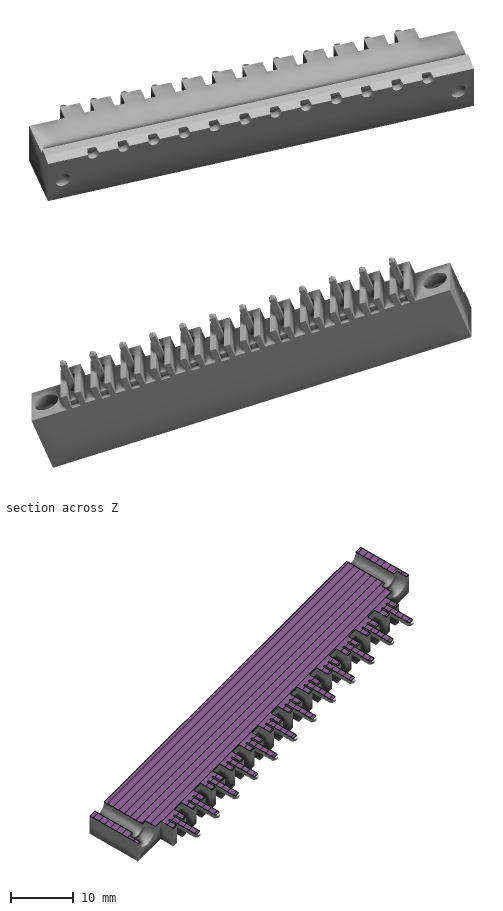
import cadquery as cq

length = 71.1
pin_length = 4.0
housing_depth = 12.2
housing_height = 7.75
total_height = 8.6

pin_count = 12
row_length = 55.9
pitch = row_length / (pin_count - 1)
axis_height = 3.9
pin_size = 1.0
pin_tip_chamfer = 0.3
pin_tip_length = 0.5

block_width = 3.35
end_step = 2.55
groove_depth = 2.35
slot_width = 1.4
slot_height = 5.55
slot_depth = 1.7
foot_height = 0.85
foot_depth = 2.55

rib_width = 3.05
rib_slope_length = 1.6
rib_slope_drop = 0.4

notch_length = 1.15
notch_inner_radius = 0.8
notch_outer_radius = 0.9
notch_axis_height = 8.1

hole_diameter = 2.5
counterbore_diameter = 4.0
counterbore_depth = 2.0

pin_positions = [i * pitch - row_length / 2 for i in range(pin_count)]
hole_positions = [-row_length / 2 - pitch, row_length / 2 + pitch]


def box(x_start, x_end, y_center, width, z_start, z_end):
    """Box between X and Z limits, centred on a Y position."""
    return (
        cq.Workplane("XY")
        .box(x_end - x_start, width, z_end - z_start, centered=(False, True, False))
        .translate((x_start, y_center, z_start))
    )


def make_housing():
    """Extruded bar with a sloped locking rib along its top."""
    profile = [
        (0, 0),
        (housing_depth, 0),
        (housing_depth, total_height - rib_slope_drop),
        (housing_depth - rib_slope_length, total_height),
        (housing_depth - rib_width, total_height),
        (housing_depth - rib_width, housing_height),
        (0, housing_height),
    ]
    return cq.Workplane("XZ").polyline(profile).close().extrude(length / 2, both=True)


def end_setback(side):
    """Material removed from one end, beyond the outermost block."""
    inner_edge = row_length / 2 + block_width / 2
    width = length / 2 - inner_edge
    return box(0, end_step, side * (inner_edge + width / 2), width, 0, housing_height)


def groove(y):
    """Full-height groove between two neighbouring blocks."""
    return box(0, groove_depth, y, pitch - block_width, 0, housing_height)


def pin_slot(y):
    """Slot around a pin, open at the bottom and deeper at its foot."""
    slot = box(0, slot_depth, y, slot_width, 0, slot_height)
    return slot.union(box(0, foot_depth, y, slot_width, 0, foot_height))


def rib_notch(y):
    """Cone along X, widening towards the mating face."""
    return (
        cq.Workplane("YZ", origin=(housing_depth - notch_length, y, notch_axis_height))
        .circle(notch_inner_radius)
        .workplane(offset=notch_length)
        .circle(notch_outer_radius)
        .loft(ruled=True)
    )


def mounting_hole(y):
    """Through hole with a counterbore from the pin side."""
    plane = cq.Workplane("YZ").center(y, axis_height)
    bore = plane.circle(hole_diameter / 2).extrude(housing_depth)
    return bore.union(plane.circle(counterbore_diameter / 2).extrude(end_step + counterbore_depth))


def pin(y):
    """Square pin with a tapered tip, seated in the back of its slot."""
    bottom = axis_height - pin_size / 2
    shoulder = pin_tip_length - pin_length
    shaft = box(shoulder, slot_depth, y, pin_size, bottom, bottom + pin_size)
    end_size = pin_size - 2 * pin_tip_chamfer
    tip = (
        cq.Workplane("YZ", origin=(-pin_length, y, axis_height))
        .rect(end_size, end_size)
        .workplane(offset=pin_tip_length)
        .rect(pin_size, pin_size)
        .loft(ruled=True)
    )
    return shaft.union(tip)


result = make_housing()
for side in (-1, 1):
    result = result.cut(end_setback(side))
for y in pin_positions[:-1]:
    result = result.cut(groove(y + pitch / 2))
for y in hole_positions:
    result = result.cut(mounting_hole(y))
for y in pin_positions:
    result = result.cut(pin_slot(y)).cut(rib_notch(y)).union(pin(y))